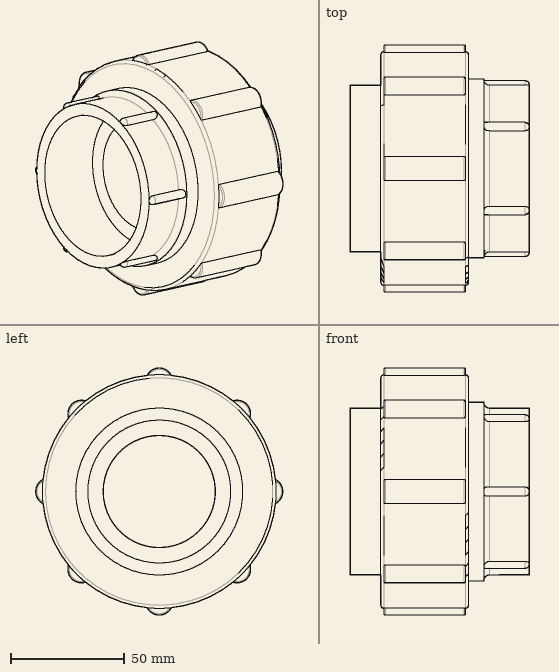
import cadquery as cq
import math

total_length = 79.0
nut_start = 13.5
nut_end = 52.2
collar_end = 58.9

nut_radius = 51.5
collar_radius = 78.9 / 2
end_radius = 73.6 / 2
socket_radius = 63.0 / 2
bore_radius = 49.3 / 2
socket_depth = 28.5
nut_edge_fillet = 1.4
collar_fillet = 2.5

grip_count = 8
grip_radius = 6.0
grip_tip_radius = 54.48
grip_inset = nut_edge_fillet
grip_edge_fillet = 0.6

end_rib_count = 6
end_rib_radius = 2.0


def cylinder(radius, start, end):
    """Solid cylinder about the X axis between two stations."""
    return cq.Workplane("YZ").workplane(offset=start).circle(radius).extrude(end - start)


def make_nut():
    """Union nut with rounded rims."""
    return cylinder(nut_radius, nut_start, nut_end).edges("%CIRCLE").fillet(nut_edge_fillet)


def make_grip():
    """One grip rib along the top of the nut, a partly buried round bar."""
    start = nut_start + grip_inset
    end = nut_end - grip_inset
    bar = cylinder(grip_radius, start, end).edges("%CIRCLE").fillet(grip_edge_fillet)
    return bar.translate((0, 0, grip_tip_radius - grip_radius))


def make_outlet():
    """Collar and outlet end, joined by a concave fillet at the collar face."""
    arc_x = collar_end + collar_fillet
    arc_r = end_radius + collar_fillet
    mid_offset = collar_fillet * math.sqrt(0.5)
    profile = (
        cq.Workplane("XY")
        .moveTo(nut_start, 0)
        .lineTo(nut_start, collar_radius)
        .lineTo(collar_end, collar_radius)
        .lineTo(collar_end, arc_r)
        .threePointArc((arc_x - mid_offset, arc_r - mid_offset), (arc_x, end_radius))
        .lineTo(total_length, end_radius)
        .lineTo(total_length, 0)
        .close()
    )
    return profile.revolve(360, (0, 0, 0), (1, 0, 0))


def make_end_rib():
    """One small outlet rib on the +Y side, with a ball tip at the free end."""
    tip_center = total_length - end_rib_radius
    rod = cylinder(end_rib_radius, nut_end, tip_center)
    tip = cq.Workplane("XY").sphere(end_rib_radius).translate((tip_center, 0, 0))
    return rod.union(tip).translate((0, end_radius, 0))


def add_around_axis(body, feature, count):
    """Join evenly spaced copies of a feature around the X axis."""
    for index in range(count):
        body = body.union(feature.rotate((0, 0, 0), (1, 0, 0), index * 360 / count))
    return body


inlet = cylinder(end_radius, 0, nut_start)
result = inlet.union(make_outlet()).union(make_nut())
result = add_around_axis(result, make_grip(), grip_count)
result = add_around_axis(result, make_end_rib(), end_rib_count)

result = result.cut(cylinder(bore_radius, 0, total_length))
result = result.cut(cylinder(socket_radius, 0, socket_depth))
result = result.cut(cylinder(socket_radius, total_length - socket_depth, total_length))